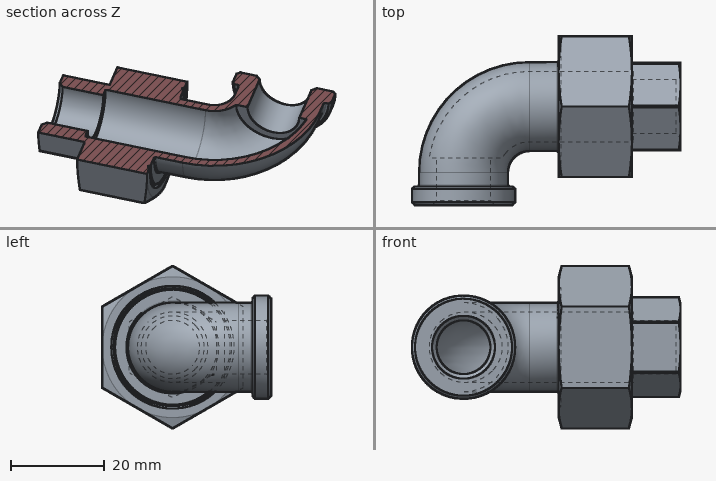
import cadquery as cq
import math

pipe_diameter = 19.0
pipe_bore_diameter = 15.0
bend_radius = 14.0

flange_diameter = 22.0
outlet_face = 21.0
flange_thickness = 4.0
flange_front_chamfer = 0.7
flange_back_chamfer = 0.6
blend_radius = 0.35

socket_diameter = 11.45
socket_depth = 10.0
mouth_diameter = 13.4
mouth_depth = (mouth_diameter - socket_diameter) / 2

nut_across_flats = 30.0
nut_start = 20.25
nut_length = 15.6
nut_end = nut_start + nut_length
nut_far_face_diameter = 29.5
nut_chamfer_angle = math.radians(15)

nut_mouth_diameter = 26.15
groove_root_diameter = 25.1
collar_face_diameter = 24.5
groove_depth = 0.5

adapter_across_flats = 18.65
adapter_across_corners = 21.3
overall_length = 57.2
adapter_end = overall_length - flange_diameter / 2
adapter_face_diameter = 18.3
adapter_chamfer_angle = math.radians(14)


def revolved_about_x(points):
    """Revolve a closed (x, radius) outline about the X axis."""
    return cq.Workplane("XY").polyline(points).close().revolve(360, (0, 0, 0), (1, 0, 0))


def hexagon(across_flats, start, end):
    """Hexagonal prism along X with corners pointing up and down Z."""
    across_corners = across_flats / math.cos(math.pi / 6)
    prism = cq.Workplane("YZ").workplane(offset=start).polygon(6, across_corners).extrude(end - start)
    return prism.rotate((0, 0, 0), (1, 0, 0), 90)


def elbow(diameter, end):
    """Round bar from the outlet face, around the bend and along X to X = end."""
    path = (
        cq.Workplane("XY")
        .moveTo(0, -outlet_face)
        .lineTo(0, -bend_radius)
        .radiusArc((bend_radius, 0), bend_radius)
        .lineTo(end, 0)
    )
    return cq.Workplane("XZ", origin=(0, -outlet_face, 0)).circle(diameter / 2).sweep(path)


def blend_ring(length):
    """Concave ring rising along +Z from the XY plane, flaring the pipe wall out by its length."""
    pipe_radius = pipe_diameter / 2
    outline = (
        cq.Workplane("XZ")
        .moveTo(pipe_bore_diameter / 2, 0)
        .lineTo(pipe_radius + length, 0)
        .radiusArc((pipe_radius, length), length)
        .lineTo(pipe_bore_diameter / 2, length)
        .close()
    )
    return outline.revolve(360, (0, 0, 0), (0, 1, 0))


def outlet_flange():
    """Chamfered disc at the outlet with a concave blend into the pipe."""
    disc = (
        cq.Workplane("XZ", origin=(0, -outlet_face, 0))
        .circle(flange_diameter / 2)
        .extrude(-flange_thickness)
        .faces("<Y").chamfer(flange_front_chamfer)
        .faces(">Y").edges().chamfer(flange_back_chamfer)
    )
    blend = blend_ring(blend_radius).rotate((0, 0, 0), (1, 0, 0), -90)
    return disc.union(blend.translate((0, flange_thickness - outlet_face, 0)))


def union_nut():
    """Hexagon nut with turned corners and the ring groove around the collar."""
    corner_radius = nut_across_flats / math.sqrt(3)
    near_radius = nut_across_flats / 2
    far_radius = nut_far_face_diameter / 2
    chamfer_slope = math.tan(nut_chamfer_angle)
    envelope = revolved_about_x([
        (nut_start, 0),
        (nut_start, near_radius),
        (nut_start + (corner_radius - near_radius) * chamfer_slope, corner_radius),
        (nut_end - (corner_radius - far_radius) * chamfer_slope, corner_radius),
        (nut_end, far_radius),
        (nut_end, 0),
    ])
    groove = revolved_about_x([
        (nut_start, collar_face_diameter / 2),
        (nut_start + groove_depth, groove_root_diameter / 2),
        (nut_start, nut_mouth_diameter / 2),
    ])
    blend = blend_ring(blend_radius).rotate((0, 0, 0), (0, 1, 0), -90)
    nut = hexagon(nut_across_flats, nut_start, nut_end).intersect(envelope).cut(groove)
    return nut.union(blend.translate((nut_start, 0, 0)))


def hex_adapter():
    """Smaller hexagon with trimmed corners and a chamfered +X end."""
    corner_radius = adapter_across_corners / 2
    face_radius = adapter_face_diameter / 2
    corner_drop = (corner_radius - face_radius) * math.tan(adapter_chamfer_angle)
    envelope = revolved_about_x([
        (nut_end, 0),
        (nut_end, corner_radius),
        (adapter_end - corner_drop, corner_radius),
        (adapter_end, face_radius),
        (adapter_end, 0),
    ])
    return hexagon(adapter_across_flats, nut_end, adapter_end).intersect(envelope)


def socket():
    """Socket cutter along +X from a mouth at the origin."""
    return revolved_about_x([
        (0, 0),
        (0, mouth_diameter / 2),
        (mouth_depth, socket_diameter / 2),
        (socket_depth, socket_diameter / 2),
        (socket_depth, 0),
    ])


def passage():
    """Wide pipe bore between two narrower sockets; the outlet socket wall reaches into the bend."""
    socket_wall = (
        cq.Workplane("XZ", origin=(0, -outlet_face, 0))
        .circle(pipe_diameter / 2)
        .extrude(-socket_depth)
    )
    pipe_bore = elbow(pipe_bore_diameter, adapter_end - socket_depth).cut(socket_wall)
    outlet_socket = socket().rotate((0, 0, 0), (0, 0, 1), 90)
    adapter_socket = socket().rotate((0, 0, 0), (0, 0, 1), 180)
    return (
        pipe_bore
        .union(outlet_socket.translate((0, -outlet_face, 0)))
        .union(adapter_socket.translate((adapter_end, 0, 0)))
    )


pipe = elbow(pipe_diameter, nut_start)
body = pipe.union(outlet_flange()).union(union_nut()).union(hex_adapter())
result = body.cut(passage())